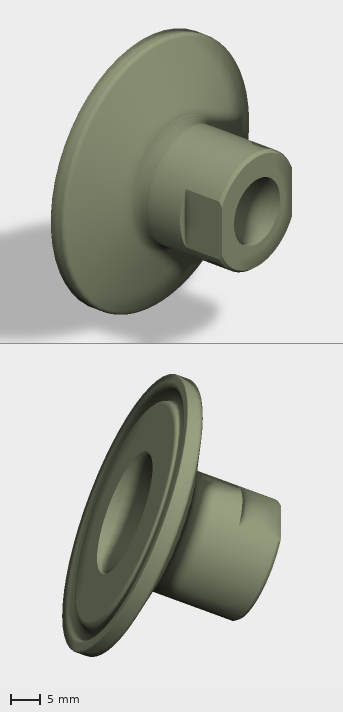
import cadquery as cq
import math

length = 25.0
flange_radius = 25.25
neck_radius = 11.0

rim_thickness = 2.9
clamp_angle = math.radians(20)
rim_fillet = 0.8
face_edge_fillet = 0.25
neck_fillet = 1.95

groove_inner_radius = 19.7
groove_outer_radius = 23.8
groove_depth = 1.6
groove_lip_radius = 0.85
groove_floor_radius = 1.2
groove_flank_angle = math.radians(20)
groove_arc_turn = math.pi / 2 - groove_flank_angle

bore_radius = 6.2
inlet_radius = 11.1
inlet_half_angle = math.radians(30)
inlet_depth = (inlet_radius - bore_radius) / math.tan(inlet_half_angle)

end_chamfer_length = 0.6
end_chamfer_drop = 0.45
flat_start = 17.0
flat_distance = 9.5


def revolve_about_x(profile):
    """Turn a closed XY profile, with Y as radius, around the X axis."""
    return profile.close().revolve(360, (0, 0, 0), (1, 0, 0))


def along_arc(center, radius, angle):
    """Point on a circle; the angle is measured from +X towards +Y."""
    return (
        center[0] + radius * math.cos(angle),
        center[1] + radius * math.sin(angle),
    )


def make_body():
    """Flange, conical back and neck as one turned solid."""
    cone_end = rim_thickness + (flange_radius - neck_radius) * math.tan(clamp_angle)
    body = revolve_about_x(
        cq.Workplane("XY")
        .moveTo(0, 0)
        .lineTo(0, flange_radius)
        .lineTo(rim_thickness, flange_radius)
        .lineTo(cone_end, neck_radius)
        .lineTo(length - end_chamfer_length, neck_radius)
        .lineTo(length, neck_radius - end_chamfer_drop)
        .lineTo(length, 0)
    )

    def edge_at(x):
        """Select the circular edge whose centre lies on the axis at x."""
        return body.edges("%CIRCLE").edges(cq.selectors.NearestToPointSelector((x, 0, 0)))

    body = edge_at(cone_end).fillet(neck_fillet)
    body = edge_at(rim_thickness).fillet(rim_fillet)
    return edge_at(0).fillet(face_edge_fillet)


def make_groove():
    """Ring with rounded lips, sloping flanks and a round floor."""
    middle_radius = (groove_inner_radius + groove_outer_radius) / 2
    floor_center = (groove_depth - groove_floor_radius, middle_radius)

    def lip_points(side):
        """Lip start, lip middle and lip end; side is +1 outside, -1 inside."""
        edge = groove_outer_radius if side > 0 else groove_inner_radius
        center = (groove_lip_radius, edge)
        middle = along_arc(center, groove_lip_radius, math.pi + side * groove_arc_turn / 2)
        end = along_arc(center, groove_lip_radius, math.pi + side * groove_arc_turn)
        return (0, edge), middle, end

    def floor_end(side):
        return along_arc(floor_center, groove_floor_radius, side * groove_arc_turn)

    inner_start, inner_middle, inner_end = lip_points(-1)
    outer_start, outer_middle, outer_end = lip_points(1)
    return revolve_about_x(
        cq.Workplane("XY")
        .moveTo(*outer_start)
        .threePointArc(outer_middle, outer_end)
        .lineTo(*floor_end(1))
        .threePointArc((groove_depth, middle_radius), floor_end(-1))
        .lineTo(*inner_end)
        .threePointArc(inner_middle, inner_start)
    )


def make_bore():
    """Through bore with a conical inlet at the sealing face."""
    return revolve_about_x(
        cq.Workplane("XY")
        .moveTo(0, 0)
        .lineTo(0, inlet_radius)
        .lineTo(inlet_depth, bore_radius)
        .lineTo(length, bore_radius)
        .lineTo(length, 0)
    )


def make_flat_cutter(side):
    """Block that leaves one wrench flat on the +Y or -Y side of the neck."""
    center_x = (flat_start + length) / 2
    center_y = side * (flat_distance + neck_radius / 2)
    cutter = cq.Workplane("XY").box(length - flat_start, neck_radius, 2 * neck_radius)
    return cutter.translate((center_x, center_y, 0))


result = make_body().cut(make_groove()).cut(make_bore())
for side in (1, -1):
    result = result.cut(make_flat_cutter(side))